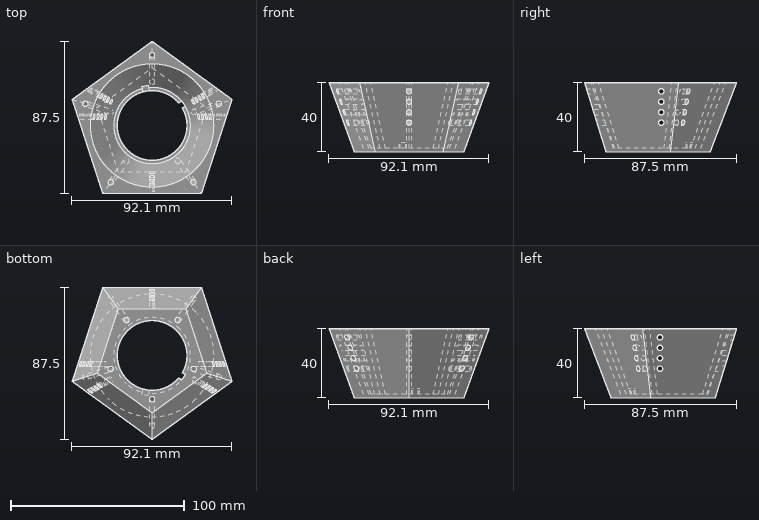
import cadquery as cq
import math

SIDES = 5
HEIGHT = 40.0
WIDTH_TOP = 92.05
WIDTH_BOTTOM = 63.0
WIDTH_PER_RADIUS = 2 * math.sin(2 * math.pi / SIDES)
CORNER_RADIUS_TOP = WIDTH_TOP / WIDTH_PER_RADIUS
CORNER_RADIUS_BOTTOM = WIDTH_BOTTOM / WIDTH_PER_RADIUS
FIRST_CORNER_ANGLE = 90.0

BOWL_RADIUS_TOP = 35.5
BOWL_RADIUS_BOTTOM = 22.0
LIP_RADIUS = 20.0
LIP_THICKNESS = 2.5

TAB_SPAN = 10.0
NOTCH_START_ANGLE = 30.0
STOP_START_ANGLE = 95.0
STOP_HEIGHT = 3.0

HOLE_DIAMETER = 3.0
CORNER_HOLE_RADIUS = 40.4
WALL_HOLE_ROWS = 4
WALL_HOLE_PITCH = 6.0
WALL_HOLE_TOP_DROP = 5.0
RADIAL_HOLE_ANGLES = (30.0, 150.0, 270.0)
CROSS_HOLE_Y = 5.0


def polar_point(radius, angle):
    """Point in the XY plane at a radius and an angle in degrees."""
    return (radius * math.cos(math.radians(angle)), radius * math.sin(math.radians(angle)))


def corner_angles():
    return [FIRST_CORNER_ANGLE + index * 360.0 / SIDES for index in range(SIDES)]


def make_frustum():
    bottom = [polar_point(CORNER_RADIUS_BOTTOM, angle) for angle in corner_angles()]
    top = [polar_point(CORNER_RADIUS_TOP, angle) for angle in corner_angles()]
    return (
        cq.Workplane("XY").polyline(bottom).close()
        .workplane(offset=HEIGHT).polyline(top).close()
        .loft(ruled=True, combine=True)
    )


def make_bowl():
    """Void of the part: the conical bowl plus the opening inside the lip."""
    profile = [
        (0, 0),
        (LIP_RADIUS, 0),
        (LIP_RADIUS, LIP_THICKNESS),
        (BOWL_RADIUS_BOTTOM, LIP_THICKNESS),
        (BOWL_RADIUS_TOP, HEIGHT),
        (0, HEIGHT),
    ]
    return cq.Workplane("XZ").polyline(profile).close().revolve(360, (0, 0, 0), (0, 1, 0))


def make_ring_sector(outer_radius, start_angle, base_z, height):
    """Block spanning one tab angle, from the lip opening out to a radius."""
    middle_angle = start_angle + TAB_SPAN / 2
    end_angle = start_angle + TAB_SPAN
    return (
        cq.Workplane("XY", origin=(0, 0, base_z))
        .moveTo(*polar_point(LIP_RADIUS, start_angle))
        .lineTo(*polar_point(outer_radius, start_angle))
        .threePointArc(polar_point(outer_radius, middle_angle), polar_point(outer_radius, end_angle))
        .lineTo(*polar_point(LIP_RADIUS, end_angle))
        .threePointArc(polar_point(LIP_RADIUS, middle_angle), polar_point(LIP_RADIUS, start_angle))
        .close()
        .extrude(height)
    )


def make_stop():
    """Stop block on the lip, running into the conical wall behind it."""
    bowl_slope = (BOWL_RADIUS_TOP - BOWL_RADIUS_BOTTOM) / (HEIGHT - LIP_THICKNESS)
    wall_radius = BOWL_RADIUS_BOTTOM + bowl_slope * STOP_HEIGHT
    return make_ring_sector(wall_radius, STOP_START_ANGLE, LIP_THICKNESS, STOP_HEIGHT)


def make_notch():
    """Opening through the full thickness of the lip, as wide as the foot of the bowl."""
    return make_ring_sector(BOWL_RADIUS_BOTTOM, NOTCH_START_ANGLE, 0, LIP_THICKNESS)


def make_corner_hole(angle):
    """Through hole from top to bottom, sloping parallel to the corner edge of the body."""
    lean = (CORNER_RADIUS_TOP - CORNER_RADIUS_BOTTOM) / HEIGHT
    slope = cq.Vector(*polar_point(-lean, angle), -1)
    mouth = cq.Vector(*polar_point(CORNER_HOLE_RADIUS, angle), HEIGHT)
    overshoot = HOLE_DIAMETER
    start = mouth - slope.normalized() * overshoot
    length = HEIGHT * slope.Length + 2 * overshoot
    return cq.Solid.makeCylinder(HOLE_DIAMETER / 2, length, start, slope)


def wall_hole_heights():
    return [HEIGHT - WALL_HOLE_TOP_DROP - row * WALL_HOLE_PITCH for row in range(WALL_HOLE_ROWS)]


def make_radial_hole(angle, z):
    """Horizontal hole from the central axis out through one wall."""
    direction = cq.Vector(*polar_point(1, angle), 0)
    return cq.Solid.makeCylinder(HOLE_DIAMETER / 2, CORNER_RADIUS_TOP, cq.Vector(0, 0, z), direction)


def make_cross_hole(z):
    """Horizontal hole along X through both side walls."""
    start = cq.Vector(-WIDTH_TOP / 2, CROSS_HOLE_Y, z)
    return cq.Solid.makeCylinder(HOLE_DIAMETER / 2, WIDTH_TOP, start, cq.Vector(1, 0, 0))


result = make_frustum().cut(make_bowl())
result = result.cut(make_notch())
result = result.union(make_stop())

for corner_angle in corner_angles():
    result = result.cut(cq.Workplane(make_corner_hole(corner_angle)))

for hole_z in wall_hole_heights():
    result = result.cut(cq.Workplane(make_cross_hole(hole_z)))
    for hole_angle in RADIAL_HOLE_ANGLES:
        result = result.cut(cq.Workplane(make_radial_hole(hole_angle, hole_z)))